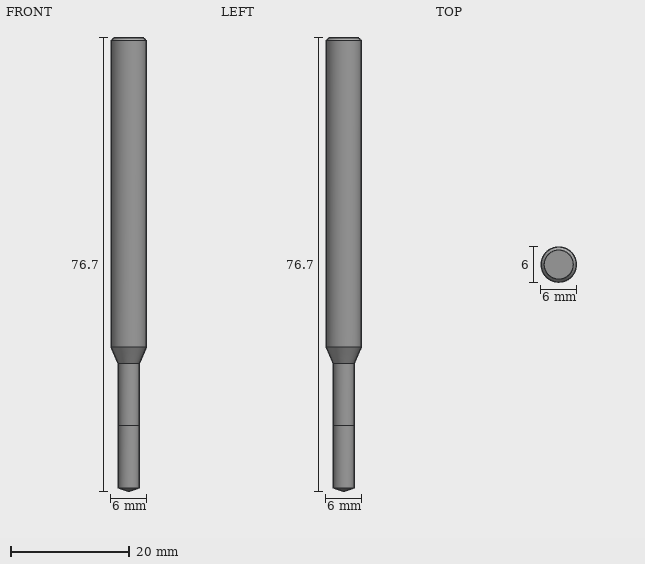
import cadquery as cq

total_length = 76.65
point_height = 0.6
cutting_length = 11.2
neck_top = 21.6
shank_bottom = 24.4

shank_diameter = 6.0
drill_diameter = 3.6
end_chamfer = 0.5

shank_radius = shank_diameter / 2
drill_radius = drill_diameter / 2
bottom_z = -total_length / 2


def revolve_profile(profile):
    """Turn a closed (radius, height) profile about the Z axis, with the tip at bottom_z."""
    turned = cq.Workplane("XZ").polyline(profile).close().revolve(360, (0, 0), (0, 1))
    return turned.translate((0, 0, bottom_z))


def make_cutting_tip():
    """Cylindrical cutting section ending in a shallow conical point."""
    return revolve_profile([
        (0, 0),
        (drill_radius, point_height),
        (drill_radius, cutting_length),
        (0, cutting_length),
    ])


def make_shank():
    """Neck, conical shoulder and chamfered shank, seated flat on the cutting tip."""
    return revolve_profile([
        (0, cutting_length),
        (drill_radius, cutting_length),
        (drill_radius, neck_top),
        (shank_radius, shank_bottom),
        (shank_radius, total_length - end_chamfer),
        (shank_radius - end_chamfer, total_length),
        (0, total_length),
    ])


cutting_tip = make_cutting_tip()
shank = make_shank()

result = cq.Compound.makeCompound([cutting_tip.val(), shank.val()])